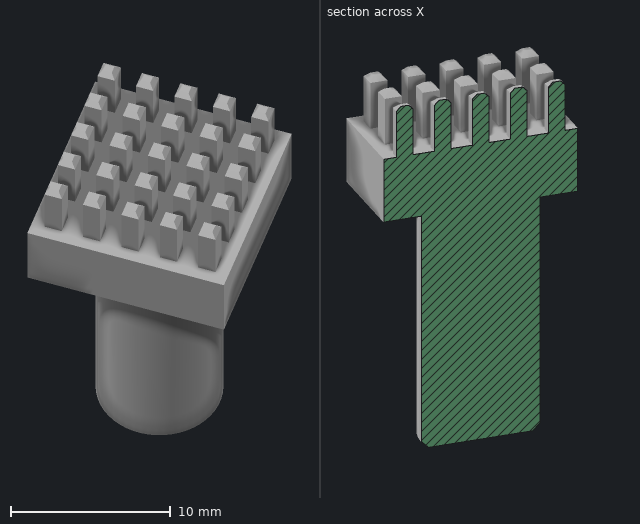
import cadquery as cq

total_height = 23.8
block_side = 13.0
block_height = 4.35

shank_diameter = 8.0
shank_height = 16.0
shank_chamfer = 0.5

pins_per_side = 5
pin_grid_span = 10.16
pin_pitch = pin_grid_span / (pins_per_side - 1)
pin_width = 1.15
pin_tip_width = 0.52
pin_tip_height = 0.3

block_bottom = shank_height
block_top = block_bottom + block_height
pin_shoulder = total_height - pin_tip_height


def make_shank():
    """Cylinder with a conical chamfer at its lower end."""
    radius = shank_diameter / 2
    profile = (
        cq.Workplane("XZ")
        .moveTo(0, 0)
        .lineTo(shank_chamfer - radius, 0)
        .lineTo(-radius, shank_chamfer)
        .lineTo(-radius, shank_height)
        .lineTo(0, shank_height)
        .close()
    )
    return profile.revolve(360, (0, 0, 0), (0, 1, 0))


def make_block():
    """Square head block sitting on the shank."""
    return (
        cq.Workplane("XY")
        .workplane(offset=block_bottom)
        .rect(block_side, block_side)
        .extrude(block_height)
    )


def make_pin():
    """Square pin on the Z axis, narrowing to a smaller flat tip."""
    post = (
        cq.Workplane("XY")
        .workplane(offset=block_top)
        .rect(pin_width, pin_width)
        .extrude(pin_shoulder - block_top)
    )
    tip = (
        cq.Workplane("XY")
        .workplane(offset=pin_shoulder)
        .rect(pin_width, pin_width)
        .workplane(offset=pin_tip_height)
        .rect(pin_tip_width, pin_tip_width)
        .loft()
    )
    return post.union(tip)


pin = make_pin()
first_pin = -pin_grid_span / 2

result = make_shank().union(make_block())
for column in range(pins_per_side):
    for row in range(pins_per_side):
        x = first_pin + column * pin_pitch
        y = first_pin + row * pin_pitch
        result = result.union(pin.translate((x, y, 0)))